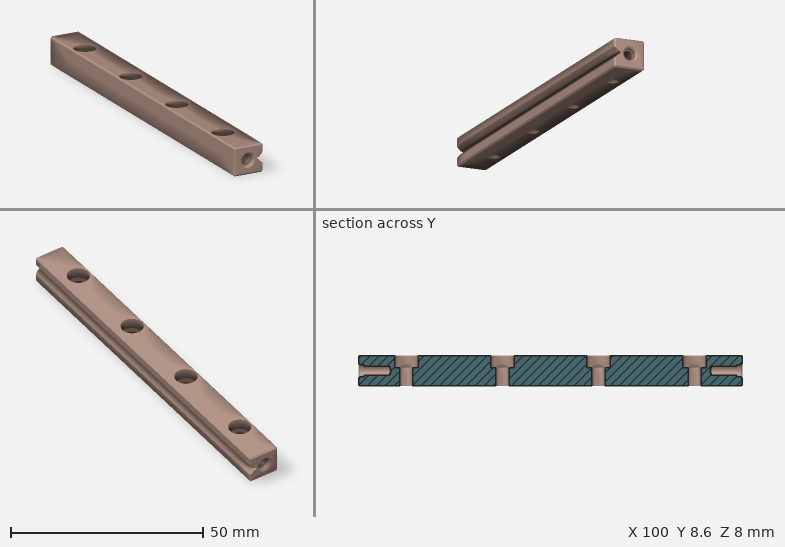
import cadquery as cq
import math

LENGTH = 100.0
WIDTH = 8.6
HEIGHT = 8.0
EDGE_CHAMFER = 0.4

GROOVE_OPENING = 3.3
RELIEF_WIDTH = 0.8
RELIEF_DEPTH = 1.9

MOUNT_COUNT = 4
MOUNT_PITCH = LENGTH / MOUNT_COUNT
MOUNT_DIAMETER = 3.3
COUNTERBORE_DIAMETER = 6.0
COUNTERBORE_DEPTH = 3.2
COUNTERBORE_RIM_CHAMFER = 0.1
MOUNT_FROM_BACK = 3.5

END_HOLE_FROM_BACK = 4.1
COUNTERSINK_DIAMETER = 4.2
ENTRY_DIAMETER = 3.2
ENTRY_DEPTH = 1.5
CORE_DIAMETER = 2.6
CORE_DEPTH = 8.0
DRILL_POINT_ANGLE = 118.0

BACK_Y = -WIDTH / 2
GROOVE_FACE_Y = WIDTH / 2


def rail_body():
    return cq.Workplane("XY").box(LENGTH, WIDTH, HEIGHT).edges().chamfer(EDGE_CHAMFER)


def groove_cutter():
    """45 degree V running the full length, opening into the round-bottomed relief slot."""
    half_relief = RELIEF_WIDTH / 2
    root_y = GROOVE_FACE_Y - RELIEF_DEPTH
    half_opening = GROOVE_OPENING / 2
    v_depth = half_opening - half_relief
    return (
        cq.Workplane("YZ", origin=(-LENGTH / 2, 0, 0))
        .moveTo(GROOVE_FACE_Y, half_opening)
        .lineTo(GROOVE_FACE_Y - v_depth, half_relief)
        .lineTo(root_y + half_relief, half_relief)
        .threePointArc((root_y, 0), (root_y + half_relief, -half_relief))
        .lineTo(GROOVE_FACE_Y - v_depth, -half_relief)
        .lineTo(GROOVE_FACE_Y, -half_opening)
        .close()
        .extrude(LENGTH)
    )


def add_mounting_holes(body):
    """Counterbored through holes with a small chamfer around each mouth."""
    hole_axes = (
        cq.Workplane("XY", origin=(0, BACK_Y + MOUNT_FROM_BACK, HEIGHT / 2))
        .rarray(MOUNT_PITCH, 1, MOUNT_COUNT, 1)
    )
    rim_cutters = (
        hole_axes.circle(COUNTERBORE_DIAMETER / 2 + COUNTERBORE_RIM_CHAMFER)
        .extrude(-COUNTERBORE_RIM_CHAMFER, taper=45)
    )
    counterbores = hole_axes.circle(COUNTERBORE_DIAMETER / 2).extrude(-COUNTERBORE_DEPTH)
    through_holes = hole_axes.circle(MOUNT_DIAMETER / 2).extrude(-HEIGHT)
    return body.cut(rim_cutters).cut(counterbores).cut(through_holes)


def end_hole_cutter():
    """Revolved cutter for the hole in the -X end, turned about its own axis."""
    core_radius = CORE_DIAMETER / 2
    entry_radius = ENTRY_DIAMETER / 2
    mouth_radius = COUNTERSINK_DIAMETER / 2
    countersink_depth = mouth_radius - entry_radius
    point_length = core_radius / math.tan(math.radians(DRILL_POINT_ANGLE / 2))
    return (
        cq.Workplane("XY", origin=(-LENGTH / 2, BACK_Y + END_HOLE_FROM_BACK, 0))
        .lineTo(0, mouth_radius)
        .lineTo(countersink_depth, entry_radius)
        .lineTo(ENTRY_DEPTH, entry_radius)
        .lineTo(ENTRY_DEPTH, core_radius)
        .lineTo(CORE_DEPTH, core_radius)
        .lineTo(CORE_DEPTH + point_length, 0)
        .close()
        .revolve(360, (0, 0, 0), (1, 0, 0))
    )


left_end_hole = end_hole_cutter()
right_end_hole = left_end_hole.mirror("YZ")

result = rail_body().cut(groove_cutter())
result = add_mounting_holes(result)
result = result.cut(left_end_hole).cut(right_end_hole)